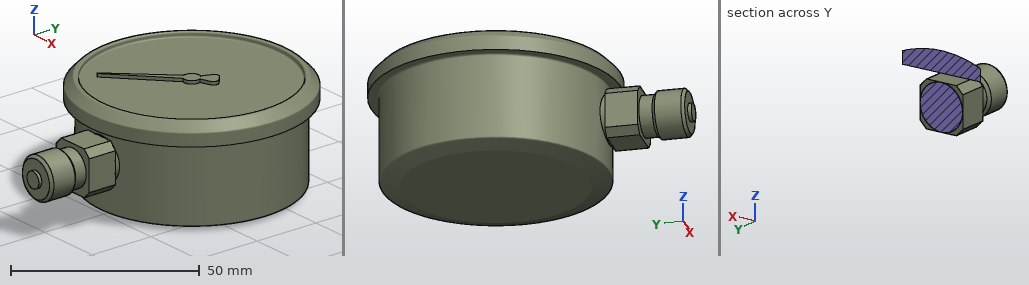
import cadquery as cq
import math

case_height = 32.0
body_radius = 31.0
base_radius = 25.4
base_cone_angle = 15.0
edge_fillet = 0.5

bezel_radius = 34.0
bezel_height = 6.5
bezel_chamfer = 2.6
bezel_bottom = case_height - bezel_height

recess_radius = 30.0
recess_depth = 1.5

pointer_angle = 225.0
pointer_thickness = 1.0
hub_radius = 2.5
needle_length = 25.2
needle_hub_half_width = 1.15
needle_tip_half_width = 0.22
tail_length = 7.3
tail_start_half_width = 0.1
tail_end_half_width = 3.25
tail_corner_radius = 1.4

stem_height = 16.0
flats_width = 14.0
flats_chamfer = 2.15
flats_start = 31.5
flats_end = 40.5
neck_diameter = 11.45
thread_diameter = 13.16
thread_start = 44.1
thread_end = 53.0
thread_chamfer = (thread_diameter - neck_diameter) / 2
pin_diameter = 5.0
stem_end = 54.0


def make_case():
    """Turned case: coned base, straight body and chamfered bezel."""
    cone_height = (body_radius - base_radius) * math.tan(math.radians(base_cone_angle))
    profile = [
        (0, 0),
        (base_radius, 0),
        (body_radius, cone_height),
        (body_radius, bezel_bottom),
        (bezel_radius, bezel_bottom),
        (bezel_radius, case_height - bezel_chamfer),
        (bezel_radius - bezel_chamfer, case_height),
        (0, case_height),
    ]
    case = cq.Workplane("XZ").polyline(profile).close().revolve(360, (0, 0), (0, 1))
    rounded_circles = [
        (body_radius, cone_height),
        (body_radius, bezel_bottom),
        (bezel_radius, case_height - bezel_chamfer),
        (bezel_radius - bezel_chamfer, case_height),
    ]
    for radius, height in rounded_circles:
        edge = cq.selectors.BoxSelector(
            (-radius - edge_fillet, -radius - edge_fillet, height - edge_fillet / 2),
            (radius + edge_fillet, radius + edge_fillet, height + edge_fillet / 2),
            boundingbox=True,
        )
        case = case.edges("%CIRCLE").edges(edge).fillet(edge_fillet)
    return case


def make_recess():
    """Dial recess cutter: rounded at the floor and flared at the rim."""
    floor = case_height - recess_depth
    bend = edge_fillet * math.sqrt(0.5)
    return (
        cq.Workplane("XZ")
        .moveTo(0, floor)
        .lineTo(recess_radius - edge_fillet, floor)
        .threePointArc(
            (recess_radius - edge_fillet + bend, floor + edge_fillet - bend),
            (recess_radius, floor + edge_fillet),
        )
        .lineTo(recess_radius, case_height - edge_fillet)
        .threePointArc(
            (recess_radius + edge_fillet - bend, case_height - edge_fillet + bend),
            (recess_radius + edge_fillet, case_height),
        )
        .lineTo(0, case_height)
        .close()
        .revolve(360, (0, 0), (0, 1))
    )


def make_pointer():
    """Pointer with a tapered needle, a round hub and a flared tail."""
    dial = cq.Workplane("XY").workplane(offset=case_height - recess_depth)
    needle = dial.polyline([
        (0, -needle_hub_half_width),
        (needle_length, -needle_tip_half_width),
        (needle_length, needle_tip_half_width),
        (0, needle_hub_half_width),
    ]).close().extrude(pointer_thickness)
    tail = dial.polyline([
        (0, -tail_start_half_width),
        (-tail_length, -tail_end_half_width),
        (-tail_length, tail_end_half_width),
        (0, tail_start_half_width),
    ]).close().extrude(pointer_thickness)
    tail = tail.edges("|Z and <X").fillet(tail_corner_radius)
    hub = dial.circle(hub_radius).extrude(pointer_thickness)
    return hub.union(needle).union(tail).rotate((0, 0, 0), (0, 0, 1), pointer_angle)


def stem_section(start, end):
    """Workplane at one stem station, and the length to the next one."""
    plane = cq.Plane(origin=(0, -start, stem_height), xDir=(1, 0, 0), normal=(0, -1, 0))
    return cq.Workplane(plane), end - start


def make_stem():
    """Connection stem: round root, square flats, neck, thread and end pin."""
    plane, length = stem_section(0, flats_start)
    root = plane.circle(flats_width / 2).extrude(length)

    plane, length = stem_section(flats_start, flats_end)
    flats = plane.rect(flats_width, flats_width).extrude(length)
    flats = flats.edges("|Y").chamfer(flats_chamfer)

    plane, length = stem_section(flats_end, thread_start)
    neck = plane.circle(neck_diameter / 2).extrude(length)

    plane, length = stem_section(thread_start, thread_end)
    thread = plane.circle(thread_diameter / 2).extrude(length)
    thread = thread.faces("<Y or >Y").chamfer(thread_chamfer)

    plane, length = stem_section(thread_end, stem_end)
    pin = plane.circle(pin_diameter / 2).extrude(length)
    return root.union(flats).union(neck).union(thread).union(pin)


result = make_case().union(make_stem()).cut(make_recess()).union(make_pointer())